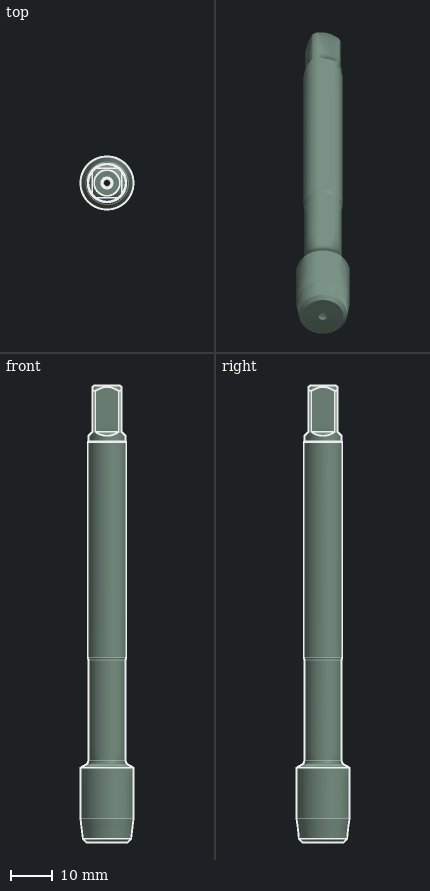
import cadquery as cq
import math

TOTAL_LENGTH = 110.0
LEAD_END_Z = 5.8
HEAD_END_Z = 18.0
SHANK_UNDERSIDE_Z = 44.0
SHANK_START_Z = 44.55
SHANK_END_Z = 96.3
COLLAR_START_Z = 96.58
FLATS_START_Z = 98.85

BORE_DIAMETER = 2.0
LEAD_TIP_DIAMETER = 11.66
HEAD_DIAMETER = 12.84
NECK_DIAMETER = 9.02
SHANK_DIAMETER = 9.32
COLLAR_DIAMETER = 8.95
TOP_FACE_DIAMETER = 6.2

TIP_CHAMFER = 0.9
BORE_MOUTH_CHAMFER = 0.35
SHOULDER_SLOPE = math.radians(30)
NECK_FILLET_RADIUS = 1.2

SQUARE_WIDTH = 7.0
FLAT_COUNT = 4
TOP_CONE_HEIGHT = 1.3


def revolve_profile(diameters_and_heights):
    """Solid of revolution about Z from (diameter, z) pairs, closed along the axis."""
    outline = [(diameter / 2, z) for diameter, z in diameters_and_heights]
    first_z = outline[0][1]
    last_z = outline[-1][1]
    outline = [(0, first_z)] + outline + [(0, last_z)]
    return cq.Workplane("XZ").polyline(outline).close().revolve(360, (0, 0), (0, 1))


def make_bore():
    """Coolant bore through the whole tool, with a chamfered mouth at the top."""
    mouth_diameter = BORE_DIAMETER + 2 * BORE_MOUTH_CHAMFER
    return revolve_profile([
        (BORE_DIAMETER, 0),
        (BORE_DIAMETER, TOTAL_LENGTH - BORE_MOUTH_CHAMFER),
        (mouth_diameter, TOTAL_LENGTH),
    ])


def make_flat_cutter():
    """Block that cuts the +X flat; its lower face runs outward and down at 45 degrees."""
    flat_x = SQUARE_WIDTH / 2
    reach = HEAD_DIAMETER / 2
    outline = [
        (flat_x, FLATS_START_Z),
        (flat_x + reach, FLATS_START_Z - reach),
        (flat_x + reach, TOTAL_LENGTH),
        (flat_x, TOTAL_LENGTH),
    ]
    return cq.Workplane("XZ").polyline(outline).close().extrude(reach, both=True)


def make_head():
    """Cutting head: chamfered tip, tapered lead and full-diameter cylinder."""
    blank = revolve_profile([
        (LEAD_TIP_DIAMETER - 2 * TIP_CHAMFER, 0),
        (LEAD_TIP_DIAMETER, TIP_CHAMFER),
        (HEAD_DIAMETER, LEAD_END_Z),
        (HEAD_DIAMETER, HEAD_END_Z),
    ])
    return blank.cut(make_bore())


def make_shank_blank():
    """Turned shape above the head: sloped shoulder, fillet, neck, shank, collar and top cone."""
    head_radius = HEAD_DIAMETER / 2
    neck_radius = NECK_DIAMETER / 2
    shank_radius = SHANK_DIAMETER / 2
    collar_radius = COLLAR_DIAMETER / 2

    fillet_center_radius = neck_radius + NECK_FILLET_RADIUS

    def fillet_point(angle, center_z):
        """Point on the fillet, at an angle below the horizontal through its centre."""
        return (
            fillet_center_radius - NECK_FILLET_RADIUS * math.cos(angle),
            center_z - NECK_FILLET_RADIUS * math.sin(angle),
        )

    turn = math.pi / 2 - SHOULDER_SLOPE
    foot_radius = fillet_center_radius - NECK_FILLET_RADIUS * math.cos(turn)
    foot_z = HEAD_END_Z + (head_radius - foot_radius) * math.tan(SHOULDER_SLOPE)
    neck_start_z = foot_z + NECK_FILLET_RADIUS * math.sin(turn)

    return (
        cq.Workplane("XZ")
        .moveTo(0, HEAD_END_Z)
        .lineTo(head_radius, HEAD_END_Z)
        .lineTo(foot_radius, foot_z)
        .threePointArc(fillet_point(turn / 2, neck_start_z), (neck_radius, neck_start_z))
        .lineTo(neck_radius, SHANK_UNDERSIDE_Z)
        .lineTo(shank_radius, SHANK_START_Z)
        .lineTo(shank_radius, SHANK_END_Z)
        .lineTo(collar_radius, COLLAR_START_Z)
        .lineTo(collar_radius, TOTAL_LENGTH - TOP_CONE_HEIGHT)
        .lineTo(TOP_FACE_DIAMETER / 2, TOTAL_LENGTH)
        .lineTo(0, TOTAL_LENGTH)
        .close()
        .revolve(360, (0, 0), (0, 1))
    )


def make_shank():
    """Shank body with the drive square cut at its top and the bore through it."""
    shank_body = make_shank_blank()
    flat_cutter = make_flat_cutter()
    for angle in range(0, 360, 360 // FLAT_COUNT):
        shank_body = shank_body.cut(flat_cutter.rotate((0, 0, 0), (0, 0, 1), angle))
    return shank_body.cut(make_bore())


head = make_head()
shank = make_shank()
result = cq.Compound.makeCompound([head.val(), shank.val()])